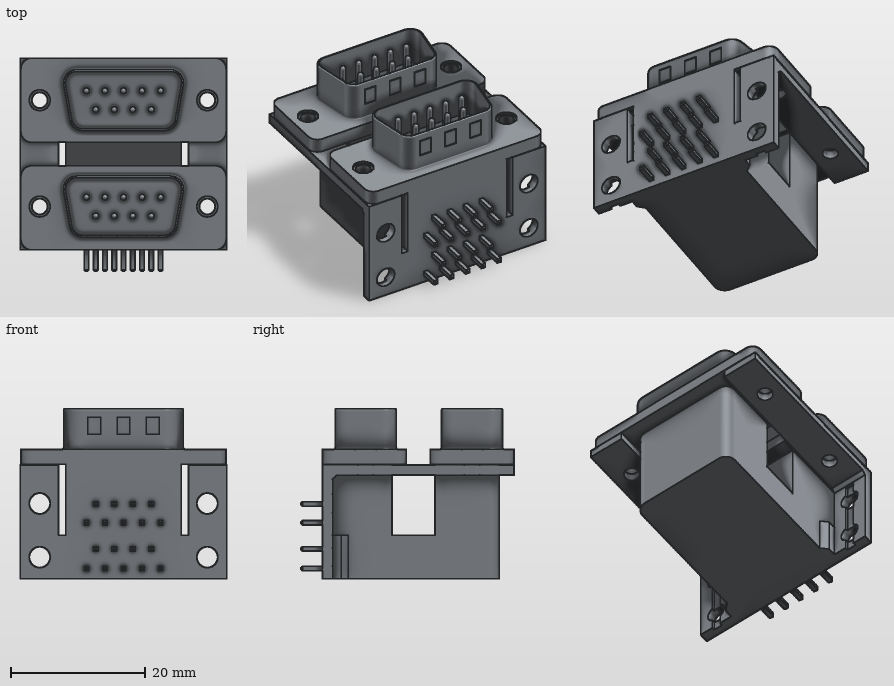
import cadquery as cq
import math

TOTAL_WIDTH = 30.8
TOTAL_HEIGHT = 25.4
BODY_DEPTH = 28.57
SOLDER_PIN_REACH = 3.2

HOUSING_HALF_WIDTH = 8.65
HOUSING_BACK_Y = 26.38
HOUSING_CORNER_RADIUS = 1.7
CHANNEL_FLOOR_Z = 6.55
CHANNEL_FRONT_Y = 10.4
CHANNEL_BACK_Y = 16.75

STRAP_OUTER_X = TOTAL_WIDTH / 2
STRAP_INNER_X = 9.65
STRAP_WIDTH = STRAP_OUTER_X - STRAP_INNER_X
STRAP_HEIGHT = 17.0
STRAP_THICKNESS = 1.53
STRAP_INNER_CHAMFER = 0.6
STRAP_HOLE_DIAMETER = 3.08
STRAP_HOLE_HEIGHTS = (3.25, 11.25)
STRAP_GROOVE_WIDTH = 1.45
STRAP_GROOVE_DEPTH = 0.48

WEB_BACK_Y = 3.85
WEB_CHAMFER = STRAP_INNER_X - HOUSING_HALF_WIDTH

FLANGE_WIDTH = 30.57
FLANGE_DEPTH = 12.52
FLANGE_GAP = 0.05
FLANGE_BOTTOM_Z = STRAP_HEIGHT + FLANGE_GAP
FLANGE_TOP_Z = 19.32
FLANGE_CORNER_RADIUS = 1.55
FLANGE_FRONT_EDGES = (0, BODY_DEPTH - FLANGE_DEPTH)

CONNECTOR_PITCH = 15.85
FRONT_CONNECTOR_Y = 6.45
CONNECTOR_CENTRES = (FRONT_CONNECTOR_Y, FRONT_CONNECTOR_Y + CONNECTOR_PITCH)
SCREW_X = 12.5
SCREW_DIAMETER = 2.32
SCREW_RECESS_DIAMETER = 3.1
SCREW_RECESS_DEPTH = 0.35

SHELL_DEPTH = 9.12
SHELL_MEAN_HALF_WIDTH = 8.52
SHELL_SIDE_ANGLE = 10
SHELL_CORNER_RADIUS = 1.97
SHELL_WALL = 0.3
RIM_FILLET = 0.25
BASE_FILLET = 0.25

DIMPLE_COUNT = 3
DIMPLE_PITCH = 4.35
DIMPLE_WIDTH = 1.9
DIMPLE_HEIGHT = 2.57
DIMPLE_CENTRE_Z = 22.85
DIMPLE_DEPTH = 0.13

CONTACT_PITCH = 2.75
CONTACT_ROW_SPACING = 2.8
CONTACT_ROWS = ((5, CONTACT_ROW_SPACING / 2), (4, -CONTACT_ROW_SPACING / 2))
CONTACT_DIAMETER = 0.9
CONTACT_TOP_Z = 25.0
SOLDER_PIN_SIZE = 0.7
SOLDER_PIN_TAPER = 0.25
SOLDER_PIN_ROWS = ((5, 1.55), (4, 4.48), (5, 8.4), (4, 11.2))


def box(x_range, y_range, z_range):
    """Box spanning the given coordinate ranges."""
    spans = [high - low for low, high in (x_range, y_range, z_range)]
    return (
        cq.Workplane("XY")
        .box(*spans, centered=False)
        .translate((x_range[0], y_range[0], z_range[0]))
    )


def row_positions(count, pitch):
    """Evenly spaced X positions centred on the mirror plane."""
    return [(i - (count - 1) / 2) * pitch for i in range(count)]


def make_housing():
    """Central block with rounded back corners and a channel across its top."""
    block = box(
        (-HOUSING_HALF_WIDTH, HOUSING_HALF_WIDTH), (0, HOUSING_BACK_Y), (0, FLANGE_BOTTOM_Z)
    )
    block = block.edges("|Z and >Y").fillet(HOUSING_CORNER_RADIUS)
    channel = box(
        (-HOUSING_HALF_WIDTH, HOUSING_HALF_WIDTH),
        (CHANNEL_FRONT_Y, CHANNEL_BACK_Y),
        (CHANNEL_FLOOR_Z, FLANGE_BOTTOM_Z),
    )
    return block.cut(channel)


def make_strap():
    """Right-hand strap with its web and a groove linking its holes on the inner face."""
    under_z = STRAP_HEIGHT - STRAP_THICKNESS
    strap = (
        cq.Workplane("YZ")
        .polyline([
            (0, 0),
            (STRAP_THICKNESS, 0),
            (STRAP_THICKNESS, under_z - STRAP_INNER_CHAMFER),
            (STRAP_THICKNESS + STRAP_INNER_CHAMFER, under_z),
            (BODY_DEPTH, under_z),
            (BODY_DEPTH, STRAP_HEIGHT),
            (0, STRAP_HEIGHT),
        ])
        .close()
        .extrude(STRAP_WIDTH)
        .translate((STRAP_INNER_X, 0, 0))
    )
    holes = (
        cq.Workplane("XZ")
        .pushPoints([(SCREW_X, z) for z in STRAP_HOLE_HEIGHTS])
        .circle(STRAP_HOLE_DIAMETER / 2)
        .extrude(-STRAP_THICKNESS)
    )
    groove = box(
        (SCREW_X - STRAP_GROOVE_WIDTH / 2, SCREW_X + STRAP_GROOVE_WIDTH / 2),
        (STRAP_THICKNESS - STRAP_GROOVE_DEPTH, STRAP_THICKNESS),
        (0, under_z - STRAP_INNER_CHAMFER),
    )
    web = (
        cq.Workplane("XY")
        .polyline([
            (HOUSING_HALF_WIDTH, 0),
            (STRAP_INNER_X, 0),
            (STRAP_INNER_X, WEB_BACK_Y - WEB_CHAMFER),
            (HOUSING_HALF_WIDTH, WEB_BACK_Y),
        ])
        .close()
        .extrude(CHANNEL_FLOOR_Z)
    )
    return strap.cut(holes).cut(groove).union(web)


def make_flange(front_y):
    """Flange plate with rounded corners."""
    flange = box(
        (-FLANGE_WIDTH / 2, FLANGE_WIDTH / 2),
        (front_y, front_y + FLANGE_DEPTH),
        (FLANGE_BOTTOM_Z, FLANGE_TOP_Z),
    )
    return flange.edges("|Z").fillet(FLANGE_CORNER_RADIUS)


def d_prism(inset, bottom_z, top_z):
    """Rounded D-shaped prism, inset from the outer shell surface."""
    slant = math.radians(SHELL_SIDE_ANGLE)
    half_depth = SHELL_DEPTH / 2 - inset
    mean_half = SHELL_MEAN_HALF_WIDTH - inset / math.cos(slant)
    flare = half_depth * math.tan(slant)
    return (
        cq.Workplane("XY", origin=(0, 0, bottom_z))
        .polyline([
            (-mean_half + flare, -half_depth),
            (mean_half - flare, -half_depth),
            (mean_half + flare, half_depth),
            (-mean_half - flare, half_depth),
        ])
        .close()
        .extrude(top_z - bottom_z)
        .edges("|Z")
        .fillet(SHELL_CORNER_RADIUS - inset)
    )


def make_dimples():
    """Shallow recesses for the front wall of a shell."""
    return (
        cq.Workplane("XZ", origin=(0, -SHELL_DEPTH / 2, DIMPLE_CENTRE_Z))
        .pushPoints([(x, 0) for x in row_positions(DIMPLE_COUNT, DIMPLE_PITCH)])
        .rect(DIMPLE_WIDTH, DIMPLE_HEIGHT)
        .extrude(-DIMPLE_DEPTH)
    )


def make_contacts():
    """Two rows of round contacts with hemispherical tips, around the connector axis."""
    radius = CONTACT_DIAMETER / 2
    shoulder_z = CONTACT_TOP_Z - radius
    contacts = cq.Workplane("XY")
    for count, y in CONTACT_ROWS:
        points = [(x, y) for x in row_positions(count, CONTACT_PITCH)]
        shanks = (
            cq.Workplane("XY", origin=(0, 0, FLANGE_TOP_Z))
            .pushPoints(points)
            .circle(radius)
            .extrude(shoulder_z - FLANGE_TOP_Z)
        )
        tips = cq.Workplane("XY", origin=(0, 0, shoulder_z)).pushPoints(points).sphere(radius)
        contacts = contacts.union(shanks).union(tips)
    return contacts


def make_connector(flange_front_y, centre_y):
    """Flange carrying a D-shaped shell, flared at its base and rounded at its rim."""
    shell = d_prism(0, FLANGE_TOP_Z, TOTAL_HEIGHT).faces(">Z").edges().fillet(RIM_FILLET)
    cavity = d_prism(SHELL_WALL, FLANGE_TOP_Z, TOTAL_HEIGHT)
    base_margin = BASE_FILLET / 2
    base_edges = cq.selectors.BoxSelector(
        (-SCREW_X, centre_y - SHELL_DEPTH / 2 - base_margin, FLANGE_TOP_Z - base_margin),
        (SCREW_X, centre_y + SHELL_DEPTH / 2 + base_margin, FLANGE_TOP_Z + base_margin),
    )
    return (
        make_flange(flange_front_y)
        .union(shell.translate((0, centre_y, 0)))
        .edges(base_edges)
        .fillet(BASE_FILLET)
        .cut(cavity.union(make_dimples()).translate((0, centre_y, 0)))
        .union(make_contacts().translate((0, centre_y, 0)))
    )


def make_screw_holes(centre_y):
    """Recessed screw holes through one flange and the straps beneath it."""
    points = [(-SCREW_X, centre_y), (SCREW_X, centre_y)]
    holes = cq.Workplane("XY", origin=(0, 0, FLANGE_TOP_Z)).pushPoints(points)
    bores = holes.circle(SCREW_DIAMETER / 2).extrude(STRAP_HEIGHT - STRAP_THICKNESS - FLANGE_TOP_Z)
    recesses = holes.circle(SCREW_RECESS_DIAMETER / 2).extrude(-SCREW_RECESS_DEPTH)
    return bores.union(recesses)


def make_solder_pins(count, height):
    """Row of square pins with tapered tips on the board side."""
    return (
        cq.Workplane("XZ")
        .pushPoints([(x, height) for x in row_positions(count, CONTACT_PITCH)])
        .rect(SOLDER_PIN_SIZE, SOLDER_PIN_SIZE)
        .extrude(SOLDER_PIN_REACH)
        .faces("<Y")
        .edges()
        .chamfer(SOLDER_PIN_TAPER)
    )


strap = make_strap()
result = make_housing().union(strap).union(strap.mirror("YZ"))

for flange_front_y, centre_y in zip(FLANGE_FRONT_EDGES, CONNECTOR_CENTRES):
    result = result.union(make_connector(flange_front_y, centre_y))
    result = result.cut(make_screw_holes(centre_y))

for count, height in SOLDER_PIN_ROWS:
    result = result.union(make_solder_pins(count, height))